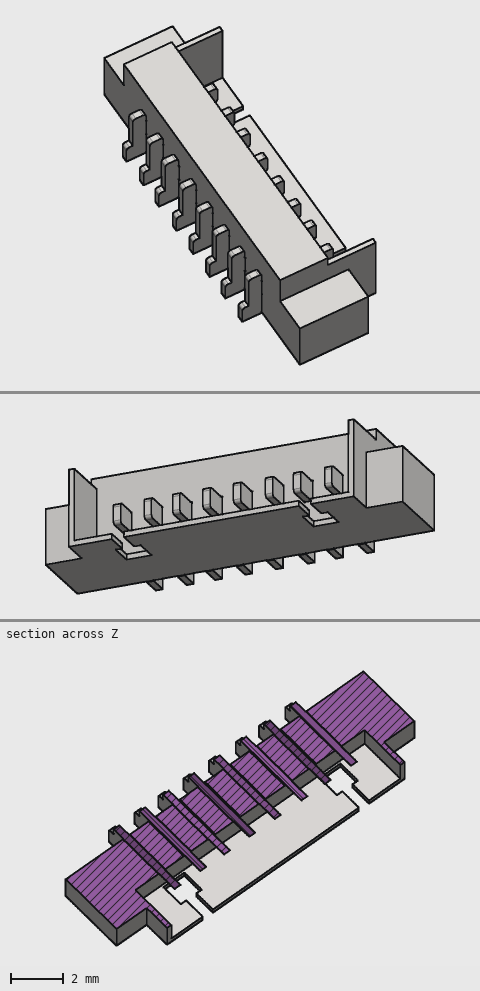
import cadquery as cq


total_length = 14.75
block_length = 11.77
block_depth = 2.1
block_height = 3.63
shroud_depth = 4.19
shroud_height = 3.19
wall = 0.22
wing_depth = 3.0
wing_height = 2.3

opening_offset = 3.86
opening_neck_width = 0.5
opening_wide_width = 1.03
opening_start = 2.2
opening_neck_start = 3.22

pin_count = 8
pin_span = 8.73
pin_pitch = pin_span / (pin_count - 1)
pin_width = 0.3
pin_round = 0.13
pin_bottom = -0.03
stem_depth = 0.58
stem_top = 2.42
foot_depth = 0.85
foot_top = 0.8
blade_tip = 3.13
blade_bottom = 1.12
blade_top = 1.96
pin_shifts = [0.0, 0.05, -0.05, 0.03, 0.05, 0.05, -0.03, 0.0]


def box(x_min, x_max, y_min, y_max, z_min, z_max):
    size = (x_max - x_min, y_max - y_min, z_max - z_min)
    return cq.Workplane("XY").box(*size, centered=False).translate((x_min, y_min, z_min))


def centred_box(width, x_centre, y_min, y_max, z_min, z_max):
    return box(x_centre - width / 2, x_centre + width / 2, y_min, y_max, z_min, z_max)


def make_shroud():
    """Floor and two side walls behind the block, with a T-shaped opening near each end."""
    outer = centred_box(block_length, 0, block_depth, shroud_depth, 0, shroud_height)
    inside = centred_box(block_length - 2 * wall, 0, block_depth, shroud_depth, wall, shroud_height)
    shroud = outer.cut(inside)
    for x in (-opening_offset, opening_offset):
        wide = centred_box(opening_wide_width, x, opening_start, opening_neck_start, 0, wall)
        neck = centred_box(opening_neck_width, x, opening_neck_start, shroud_depth, 0, wall)
        shroud = shroud.cut(wide).cut(neck)
    return shroud


def make_pin(x_centre):
    """Stem and foot against the front face, with a blade reaching through the block."""
    outline = [
        (0, pin_bottom),
        (0, blade_bottom),
        (blade_tip, blade_bottom),
        (blade_tip, blade_top),
        (0, blade_top),
        (0, stem_top),
        (-stem_depth, stem_top),
        (-stem_depth, foot_top),
        (-foot_depth, foot_top),
        (-foot_depth, pin_bottom),
    ]
    rounded_corners = [
        (blade_tip, blade_bottom),
        (blade_tip, blade_top),
        (0, stem_top),
        (-stem_depth, stem_top),
        (-foot_depth, foot_top),
    ]
    pin = cq.Workplane("YZ").polyline(outline).close().extrude(pin_width / 2, both=True)
    for y, z in rounded_corners:
        pin = pin.edges(cq.selectors.NearestToPointSelector((0, y, z))).fillet(pin_round)
    return pin.translate((x_centre, 0, 0))


def make_housing(slot_places, pin_places):
    """Block, end wings and shroud, with a slot through the block for each blade."""
    block = centred_box(block_length, 0, 0, block_depth, 0, block_height)
    full_bar = centred_box(total_length, 0, 0, wing_depth, 0, wing_height)
    between_wings = centred_box(block_length, 0, 0, wing_depth, 0, wing_height)
    wings = full_bar.cut(between_wings)
    housing = block.union(make_shroud()).union(wings)
    for slot_x, pin_x in zip(slot_places, pin_places):
        slot_width = pin_width + abs(pin_x - slot_x)
        slot_centre = (slot_x + pin_x) / 2
        slot = centred_box(slot_width, slot_centre, 0, block_depth, blade_bottom, blade_top)
        housing = housing.cut(slot)
    return housing


slot_places = [(i - (pin_count - 1) / 2) * pin_pitch for i in range(pin_count)]
pin_places = [slot_x + shift for slot_x, shift in zip(slot_places, pin_shifts)]

housing = make_housing(slot_places, pin_places)
pins = [make_pin(x) for x in pin_places]

result = cq.Compound.makeCompound([housing.val(), *[pin.val() for pin in pins]])